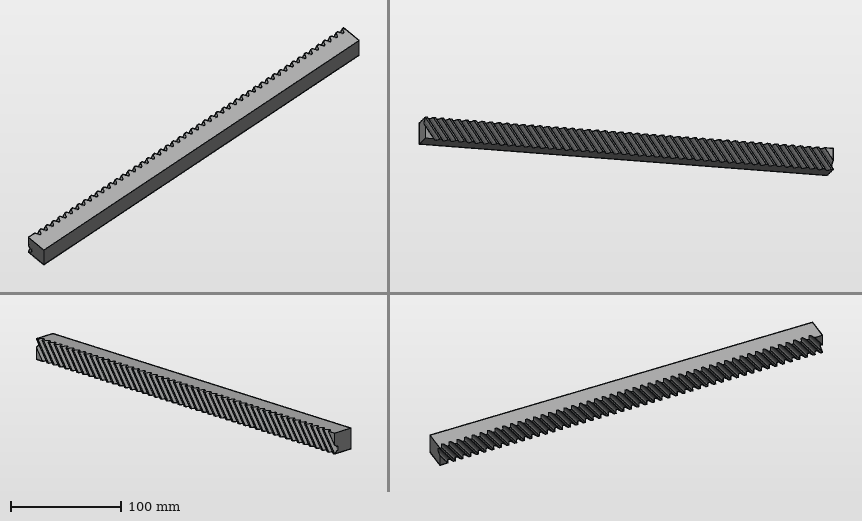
import cadquery as cq
import math

bar_length = 383.5
bar_width = 21.0
bar_height = 20.0

gap_count = 50
helix_angle = math.radians(35.0)
pressure_angle = math.radians(20.0)
pitch_along_bar = bar_length / gap_count
normal_pitch = pitch_along_bar * math.cos(helix_angle)
module = normal_pitch / math.pi
addendum = module
dedendum = 1.25 * module
root_radius = 0.3 * module

flank_slope = math.tan(pressure_angle)
gap_half_width = normal_pitch / 4
tip_x = -bar_width / 2
pitch_line_x = tip_x + addendum
root_x = pitch_line_x + dedendum
mouth_clearance = addendum
mouth_x = tip_x - mouth_clearance
mouth_half_width = gap_half_width + (pitch_line_x - mouth_x) * flank_slope
root_half_width = gap_half_width - dedendum * flank_slope

cutter_length = 2 * bar_height / math.cos(helix_angle)


def gap_cutter(y_center):
    """Slanted tooth-gap prism whose axis crosses mid-height at y_center and rises towards +Y."""
    gap_plane = cq.Plane(
        origin=(0, y_center, 0),
        xDir=(1, 0, 0),
        normal=(0, math.sin(helix_angle), math.cos(helix_angle)),
    )
    root_corners = cq.selectors.ParallelDirSelector(gap_plane.zDir)
    return (
        cq.Workplane(gap_plane)
        .polyline([
            (mouth_x, -mouth_half_width),
            (root_x, -root_half_width),
            (root_x, root_half_width),
            (mouth_x, mouth_half_width),
        ])
        .close()
        .extrude(cutter_length / 2, both=True)
        .faces(">X")
        .edges(root_corners)
        .fillet(root_radius)
    )


first_gap_y = -bar_length / 2 + pitch_along_bar / 2
cutters = [gap_cutter(first_gap_y + i * pitch_along_bar).val() for i in range(gap_count)]

bar = cq.Workplane("XY").box(bar_width, bar_length, bar_height).val()
result = cq.Workplane("XY").newObject([bar.cut(*cutters)])